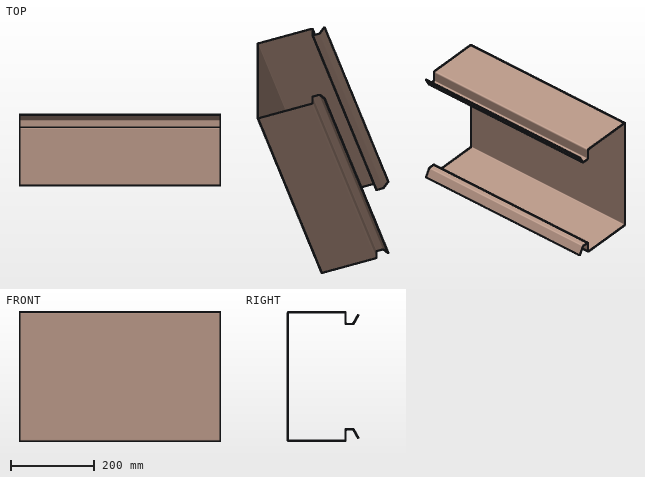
import cadquery as cq
import math

length = 480.0
height = 310.0
overall_depth = 170.5
box_depth = 140.0
return_height = 30.0
tip_drop = 7.5
lip_angle = math.radians(60)
thickness = 2.0
inner_bend_radius = 2.0

half_thickness = thickness / 2
bend_radius = inner_bend_radius + half_thickness

front_y = half_thickness
return_y = box_depth - half_thickness
top_z = height / 2 - half_thickness
ledge_z = height / 2 - return_height + half_thickness
tip_y = overall_depth - half_thickness * math.sin(lip_angle)
tip_z = height / 2 - tip_drop - half_thickness * math.cos(lip_angle)
lip_foot_y = tip_y - (tip_z - ledge_z) / math.tan(lip_angle)

upper_corners = [
    (front_y, top_z),
    (return_y, top_z),
    (return_y, ledge_z),
    (lip_foot_y, ledge_z),
    (tip_y, tip_z),
]


def bent_path(start, corners):
    """Mid-line from start to the last corner, with an arc at each corner between."""
    path = cq.Workplane("YZ").moveTo(*start)
    previous = cq.Vector(*start)
    for corner, following in zip(corners, corners[1:]):
        bend = cq.Vector(*corner)
        incoming = (bend - previous).normalized()
        outgoing = (cq.Vector(*following) - bend).normalized()
        turn = incoming.getAngle(outgoing)
        setback = bend_radius * math.tan(turn / 2)
        arc_start = bend - incoming * setback
        arc_end = bend + outgoing * setback
        inward = (outgoing - incoming).normalized()
        arc_middle = bend + inward * (bend_radius / math.cos(turn / 2) - bend_radius)
        path = path.lineTo(arc_start.x, arc_start.y)
        path = path.threePointArc((arc_middle.x, arc_middle.y), (arc_end.x, arc_end.y))
        previous = bend
    return path.lineTo(*corners[-1])


sheet_section = cq.Workplane("XY").center(0, front_y).rect(length, thickness)
upper_half = sheet_section.sweep(bent_path((front_y, 0), upper_corners))
result = upper_half.union(upper_half.mirror("XY")).clean()